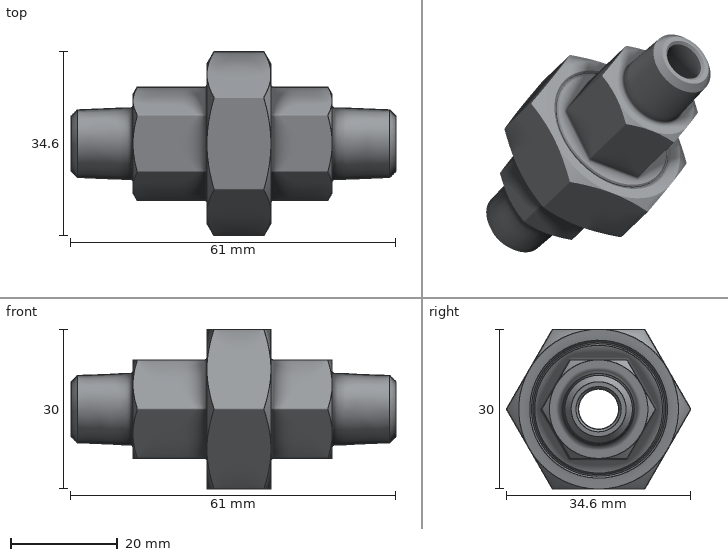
import cadquery as cq
import math

TOTAL_LENGTH = 61.0

END_DIAMETER = 10.3
TIP_DIAMETER = 12.7
TIP_CHAMFER_LENGTH = (TIP_DIAMETER - END_DIAMETER) / 2
NECK_DIAMETER = 13.4
THREAD_LENGTH = 9.65
NECK_FILLET = 0.5

BORE_DIAMETER = 7.5
BORE_CHAMFER = 0.5

TAIL_HEX_FLATS = 18.5
TAIL_HEX_EDGE_RADIUS = 0.3
TAIL_HEX_START = 11.6
TAIL_HEX_END = 49.0
TAIL_ROOT_FILLET = 0.45

NUT_FLATS = 30.0
NUT_CORNER_WIDTH = 34.55
NUT_START = 25.5
NUT_LENGTH = 12.0
NUT_END = NUT_START + NUT_LENGTH
SHARP_CORNER_FACTOR = 2 / math.sqrt(3)
NUT_EDGE_RADIUS = (NUT_FLATS * SHARP_CORNER_FACTOR - NUT_CORNER_WIDTH) / (2 * (SHARP_CORNER_FACTOR - 1))

BEVEL_ANGLE = math.radians(30)
BEVEL_CLEARANCE = 1.0

NUT_MOUTH_DIAMETER = 25.9
NUT_OPENING_DIAMETER = 25.2
COLLAR_DIAMETER = 24.6
COLLAR_FACE_DIAMETER = 24.0
GAP_DEPTH = 0.5


def revolve_profile(points):
    """Turn a closed (x, radius) outline around the X axis."""
    outline = cq.Workplane("XY").polyline(points).close()
    return outline.revolve(360, (0, 0, 0), (1, 0, 0))


def hexagon(flats, start, end, edge_radius):
    """Hexagonal bar along X with flats facing +Z and -Z and rounded long edges."""
    corners = flats * SHARP_CORNER_FACTOR
    bar = cq.Workplane("YZ", origin=(start, 0, 0)).polygon(6, corners).extrude(end - start)
    return bar.edges("|X").fillet(edge_radius)


def bevel_envelope(flats, start, end, bevel_end):
    """Turned envelope with a start cone, and optionally an end cone, from the circle inscribed in the flats."""
    face_radius = flats / 2
    outer_radius = flats * SHARP_CORNER_FACTOR / 2 + BEVEL_CLEARANCE
    cone_length = (outer_radius - face_radius) * math.tan(BEVEL_ANGLE)
    points = [
        (start, 0),
        (start, face_radius),
        (start + cone_length, outer_radius),
    ]
    if bevel_end:
        points += [(end - cone_length, outer_radius), (end, face_radius)]
    else:
        points += [(end, outer_radius)]
    points += [(end, 0)]
    return revolve_profile(points)


def make_threaded_end(hex_face):
    """Tapered male end starting at x = 0, with a plain neck flared into the hexagon face."""
    neck_radius = NECK_DIAMETER / 2
    flare_start = hex_face - NECK_FILLET
    flare_radius = neck_radius + NECK_FILLET
    middle = NECK_FILLET * math.sin(math.radians(45))
    outline = (
        cq.Workplane("XY")
        .moveTo(0, 0)
        .lineTo(0, END_DIAMETER / 2)
        .lineTo(TIP_CHAMFER_LENGTH, TIP_DIAMETER / 2)
        .lineTo(THREAD_LENGTH, neck_radius)
        .lineTo(flare_start, neck_radius)
        .threePointArc((flare_start + middle, flare_radius - middle), (hex_face, flare_radius))
        .lineTo(hex_face, 0)
        .close()
    )
    return outline.revolve(360, (0, 0, 0), (1, 0, 0))


def make_tailpiece(hex_face, collar_face):
    """Threaded end, bevelled hexagon and the collar that the hexagon root blends into."""
    collar_end = (NUT_START + NUT_END) / 2
    hexagon_bar = hexagon(TAIL_HEX_FLATS, hex_face, collar_face, TAIL_HEX_EDGE_RADIUS)
    hexagon_bar = hexagon_bar.intersect(bevel_envelope(TAIL_HEX_FLATS, hex_face, collar_face, bevel_end=False))
    collar = (
        cq.Workplane("YZ", origin=(collar_face, 0, 0))
        .circle(COLLAR_DIAMETER / 2)
        .extrude(collar_end - collar_face)
    )
    collar_chamfer = (COLLAR_DIAMETER - COLLAR_FACE_DIAMETER) / 2
    collar = collar.faces("<X").chamfer(collar_chamfer)
    body = hexagon_bar.union(collar)

    half_reach = TAIL_HEX_FLATS * SHARP_CORNER_FACTOR / 2
    slack = TAIL_ROOT_FILLET / 10
    root_edges = cq.selectors.BoxSelector(
        (collar_face - slack, -half_reach, -half_reach),
        (collar_face + slack, half_reach, half_reach),
        boundingbox=True,
    )
    body = body.edges(root_edges).fillet(TAIL_ROOT_FILLET)
    return body.union(make_threaded_end(hex_face))


def make_nut():
    """Bevelled hexagonal nut with a chamfered mouth recessed into each end."""
    nut = hexagon(NUT_FLATS, NUT_START, NUT_END, NUT_EDGE_RADIUS)
    nut = nut.intersect(bevel_envelope(NUT_FLATS, NUT_START, NUT_END, bevel_end=True))
    mouth_radius = NUT_MOUTH_DIAMETER / 2
    opening_radius = NUT_OPENING_DIAMETER / 2
    mouth_chamfer = mouth_radius - opening_radius
    recess = revolve_profile([
        (NUT_START, 0),
        (NUT_START, mouth_radius),
        (NUT_START + mouth_chamfer, opening_radius),
        (NUT_START + GAP_DEPTH, opening_radius),
        (NUT_START + GAP_DEPTH, 0),
    ])
    opposite_recess = recess.mirror("YZ", ((NUT_START + NUT_END) / 2, 0, 0))
    return nut.cut(recess).cut(opposite_recess)


def make_bore():
    """Through bore, chamfered at both ends."""
    bore_radius = BORE_DIAMETER / 2
    mouth_radius = bore_radius + BORE_CHAMFER
    return revolve_profile([
        (0, 0),
        (0, mouth_radius),
        (BORE_CHAMFER, bore_radius),
        (TOTAL_LENGTH - BORE_CHAMFER, bore_radius),
        (TOTAL_LENGTH, mouth_radius),
        (TOTAL_LENGTH, 0),
    ])


left_tailpiece = make_tailpiece(TAIL_HEX_START, NUT_START)
right_tailpiece = make_tailpiece(TOTAL_LENGTH - TAIL_HEX_END, TOTAL_LENGTH - NUT_END)
right_tailpiece = right_tailpiece.mirror("YZ", (TOTAL_LENGTH / 2, 0, 0))
result = make_nut().union(left_tailpiece).union(right_tailpiece).cut(make_bore())